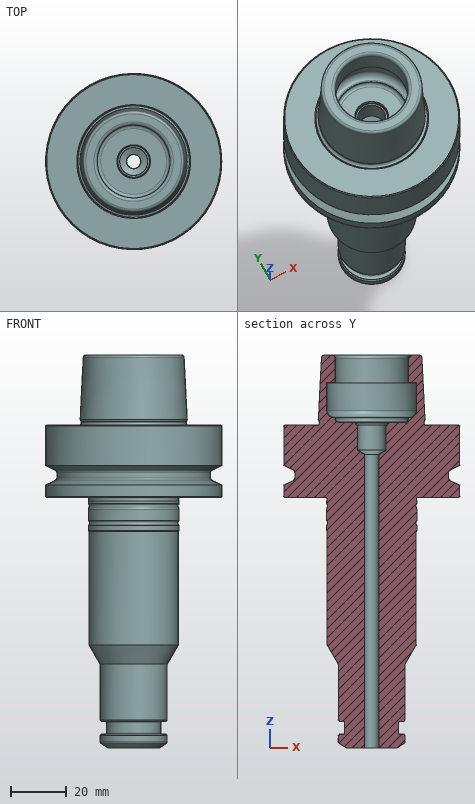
import cadquery as cq
import math


TAPER_LENGTH = 25.0
GAUGE_DIAMETER = 38.01
GAUGE_HEIGHT = 5.0
TAPER_SLOPE = 0.05
RIM_FILLET = 1.0
UNDERCUT_RADIUS = 18.8
UNDERCUT_FILLET = 1.0
UNDERCUT_TOP = 2.0
UNDERCUT_STEP_HEIGHT = 0.8
RELIEF_RADIUS = 20.35
RELIEF_FLOOR_RADIUS = 19.95
RELIEF_DEPTH = 0.2

FLANGE_RADIUS = 63.0 / 2
FLANGE_WIDTH = 26.0
FLANGE_CHAMFER = 0.4
GROOVE_RADIUS = 55.0 / 2
GROOVE_CENTRE = -18.0
GROOVE_WIDTH = 7.0
GROOVE_FILLET = 0.8
GROOVE_FLOOR_WIDTH = 3.1

SHANK_RADIUS = 32.0 / 2
COLLAR_RADIUS = 32.5 / 2
COLLAR_END = -38.1
COLLAR_CHAMFER_HEIGHT = 0.35
COLLAR_RELIEF_END = -27.2
COLLAR_RELIEF_DEPTH = 0.15
COLLAR_GROOVES = [(-28.1, -30.2, 0.85), (-34.1, -36.0, 0.35)]
COLLAR_GROOVE_ARC_DEPTH = 0.15
CONE_END = -85.5
CONE_HALF_ANGLE = 30.0

PILOT_RADIUS = 24.0 / 2
PILOT_CHAMFER = 0.5
NECK_RADIUS = 19.5 / 2
NECK_TOP = -106.0
NECK_BOTTOM = -110.5
NECK_FILLET = 0.4
SHANK_END = -115.5
END_BEVEL_HEIGHT = 1.85
END_BEVEL_WIDTH = 2.9
END_BEVEL_FILLET = 1.0

BORE_RADIUS = 26.0 / 2
BORE_FILLET = 1.2
CLAMP_RADIUS = 32.0 / 2
CLAMP_TOP = 15.0
CLAMP_BOTTOM = 2.7
CLAMP_FILLET = 2.5
BORE_FLOOR = 1.0
COUNTERBORE_RADIUS = 11.3 / 2
COUNTERBORE_CHAMFER = 0.35
COUNTERBORE_DEPTH = 1.0
POCKET_RADIUS = 10.0 / 2
POCKET_DEPTH = 10.0
COOLANT_RADIUS = 5.0 / 2
DRILL_POINT_ANGLE = 118.0


def revolve(profile):
    """Full turn of a closed radius-height profile about the Z axis."""
    return profile.revolve(360, (0, 0, 0), (0, 1, 0))


def revolve_points(points):
    return revolve(cq.Workplane("XZ").polyline(points).close())


def taper_radius(z):
    return GAUGE_DIAMETER / 2 - (z - GAUGE_HEIGHT) * TAPER_SLOPE


def ring_edges(solid, radius, z):
    """Circular edge of the given radius at height z, selected with a thin box."""
    tolerance = 0.01
    box = cq.selectors.BoxSelector(
        (-radius - tolerance, -radius - tolerance, z - tolerance),
        (radius + tolerance, radius + tolerance, z + tolerance),
        boundingbox=True,
    )
    return solid.edges(box)


def make_taper():
    profile = (
        cq.Workplane("XZ")
        .moveTo(0, -RELIEF_DEPTH)
        .lineTo(UNDERCUT_RADIUS, -RELIEF_DEPTH)
        .lineTo(UNDERCUT_RADIUS, UNDERCUT_TOP - UNDERCUT_STEP_HEIGHT)
        .lineTo(taper_radius(UNDERCUT_TOP), UNDERCUT_TOP)
        .lineTo(taper_radius(TAPER_LENGTH), TAPER_LENGTH)
        .lineTo(0, TAPER_LENGTH)
        .close()
    )
    taper = revolve(profile)
    return taper.faces(">Z").edges().fillet(RIM_FILLET)


def make_flange():
    flank = (GROOVE_WIDTH - GROOVE_FLOOR_WIDTH) / 2
    groove_top = GROOVE_CENTRE + GROOVE_WIDTH / 2
    groove_bottom = GROOVE_CENTRE - GROOVE_WIDTH / 2
    flange = revolve_points([
        (0, 0),
        (FLANGE_RADIUS - FLANGE_CHAMFER, 0),
        (FLANGE_RADIUS, -FLANGE_CHAMFER),
        (FLANGE_RADIUS, groove_top),
        (GROOVE_RADIUS, groove_top - flank),
        (GROOVE_RADIUS, groove_bottom + flank),
        (FLANGE_RADIUS, groove_bottom),
        (FLANGE_RADIUS, FLANGE_CHAMFER - FLANGE_WIDTH),
        (FLANGE_RADIUS - FLANGE_CHAMFER, -FLANGE_WIDTH),
        (0, -FLANGE_WIDTH),
    ])
    relief = revolve_points([
        (0, 0),
        (RELIEF_RADIUS, 0),
        (RELIEF_FLOOR_RADIUS, -RELIEF_DEPTH),
        (0, -RELIEF_DEPTH),
    ])
    for corner_z in (groove_top - flank, groove_bottom + flank):
        flange = ring_edges(flange, GROOVE_RADIUS, corner_z).fillet(GROOVE_FILLET)
    return flange.cut(relief)


def make_shank():
    cone_start = CONE_END + (SHANK_RADIUS - PILOT_RADIUS) / math.tan(math.radians(CONE_HALF_ANGLE))
    bevel_top = SHANK_END + END_BEVEL_HEIGHT
    profile = cq.Workplane("XZ").moveTo(0, -FLANGE_WIDTH).lineTo(COLLAR_RADIUS, -FLANGE_WIDTH)
    relief_middle = (COLLAR_RADIUS - COLLAR_RELIEF_DEPTH, (COLLAR_RELIEF_END - FLANGE_WIDTH) / 2)
    profile = profile.threePointArc(relief_middle, (COLLAR_RADIUS, COLLAR_RELIEF_END))
    for top, bottom, slope_height in COLLAR_GROOVES:
        arc_top = top - COLLAR_CHAMFER_HEIGHT
        arc_bottom = bottom + slope_height
        arc_middle = (SHANK_RADIUS - COLLAR_GROOVE_ARC_DEPTH, (arc_top + arc_bottom) / 2)
        profile = (
            profile
            .lineTo(COLLAR_RADIUS, top)
            .lineTo(SHANK_RADIUS, arc_top)
            .threePointArc(arc_middle, (SHANK_RADIUS, arc_bottom))
            .lineTo(COLLAR_RADIUS, bottom)
        )
    profile = (
        profile
        .lineTo(COLLAR_RADIUS, COLLAR_END + COLLAR_CHAMFER_HEIGHT)
        .lineTo(SHANK_RADIUS, COLLAR_END)
        .lineTo(SHANK_RADIUS, cone_start)
        .lineTo(PILOT_RADIUS, CONE_END)
        .lineTo(PILOT_RADIUS, NECK_TOP + PILOT_CHAMFER)
        .lineTo(PILOT_RADIUS - PILOT_CHAMFER, NECK_TOP)
        .lineTo(NECK_RADIUS, NECK_TOP)
        .lineTo(NECK_RADIUS, NECK_BOTTOM)
        .lineTo(PILOT_RADIUS - PILOT_CHAMFER, NECK_BOTTOM)
        .lineTo(PILOT_RADIUS, NECK_BOTTOM - PILOT_CHAMFER)
        .lineTo(PILOT_RADIUS, bevel_top)
        .lineTo(PILOT_RADIUS - END_BEVEL_WIDTH, SHANK_END)
        .lineTo(0, SHANK_END)
        .close()
    )
    shank = revolve(profile)
    for corner_z in (NECK_TOP, NECK_BOTTOM):
        shank = ring_edges(shank, NECK_RADIUS, corner_z).fillet(NECK_FILLET)
    return ring_edges(shank, PILOT_RADIUS, bevel_top).fillet(END_BEVEL_FILLET)


def make_bore():
    counterbore_floor = BORE_FLOOR - COUNTERBORE_DEPTH
    pocket_floor = BORE_FLOOR - POCKET_DEPTH
    point_depth = (POCKET_RADIUS - COOLANT_RADIUS) / math.tan(math.radians(DRILL_POINT_ANGLE / 2))
    profile = (
        cq.Workplane("XZ")
        .moveTo(0, TAPER_LENGTH)
        .lineTo(BORE_RADIUS + BORE_FILLET, TAPER_LENGTH)
        .radiusArc((BORE_RADIUS, TAPER_LENGTH - BORE_FILLET), -BORE_FILLET)
        .lineTo(BORE_RADIUS, CLAMP_TOP)
        .lineTo(CLAMP_RADIUS, CLAMP_TOP)
        .lineTo(CLAMP_RADIUS, CLAMP_BOTTOM + CLAMP_FILLET)
        .radiusArc((CLAMP_RADIUS - CLAMP_FILLET, CLAMP_BOTTOM), CLAMP_FILLET)
        .lineTo(BORE_RADIUS, CLAMP_BOTTOM)
        .lineTo(BORE_RADIUS, BORE_FLOOR + BORE_FILLET)
        .radiusArc((BORE_RADIUS - BORE_FILLET, BORE_FLOOR), BORE_FILLET)
        .lineTo(COUNTERBORE_RADIUS + COUNTERBORE_CHAMFER, BORE_FLOOR)
        .lineTo(COUNTERBORE_RADIUS, BORE_FLOOR - COUNTERBORE_CHAMFER)
        .lineTo(COUNTERBORE_RADIUS, counterbore_floor)
        .lineTo(POCKET_RADIUS, counterbore_floor)
        .lineTo(POCKET_RADIUS, pocket_floor)
        .lineTo(COOLANT_RADIUS, pocket_floor - point_depth)
        .lineTo(COOLANT_RADIUS, SHANK_END)
        .lineTo(0, SHANK_END)
        .close()
    )
    return revolve(profile)


body = make_flange().union(make_taper()).union(make_shank())
body = ring_edges(body, UNDERCUT_RADIUS, -RELIEF_DEPTH).fillet(UNDERCUT_FILLET)
result = body.cut(make_bore())